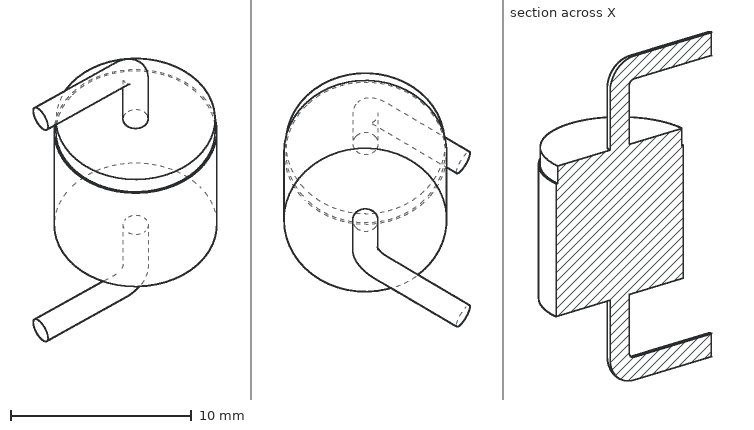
import cadquery as cq

body_diameter = 9.0
body_height = 9.0
band_diameter = 8.8
band_height = 1.05

overall_height = 19.4
lead_diameter = 1.4
bend_radius = 1.0
lead_reach = 6.5

body_top = body_height / 2
shoulder_z = body_top - band_height
arm_z = (overall_height - lead_diameter) / 2


def make_body():
    """Main cylinder with a slightly narrower band at the top."""
    main = (
        cq.Workplane("XY")
        .workplane(offset=-body_top)
        .circle(body_diameter / 2)
        .extrude(body_height - band_height)
    )
    band = (
        cq.Workplane("XY")
        .workplane(offset=shoulder_z)
        .circle(band_diameter / 2)
        .extrude(band_height)
    )
    return main.union(band)


def make_upper_lead():
    """Wire rising from the body centre, then bending to a horizontal arm."""
    path = (
        cq.Workplane("YZ")
        .moveTo(0, 0)
        .lineTo(0, arm_z - bend_radius)
        .tangentArcPoint((-bend_radius, arm_z), relative=False)
        .lineTo(-lead_reach, arm_z)
    )
    return cq.Workplane("XY").circle(lead_diameter / 2).sweep(path)


upper_lead = make_upper_lead()
lower_lead = upper_lead.mirror("XY")
result = make_body().union(upper_lead).union(lower_lead)